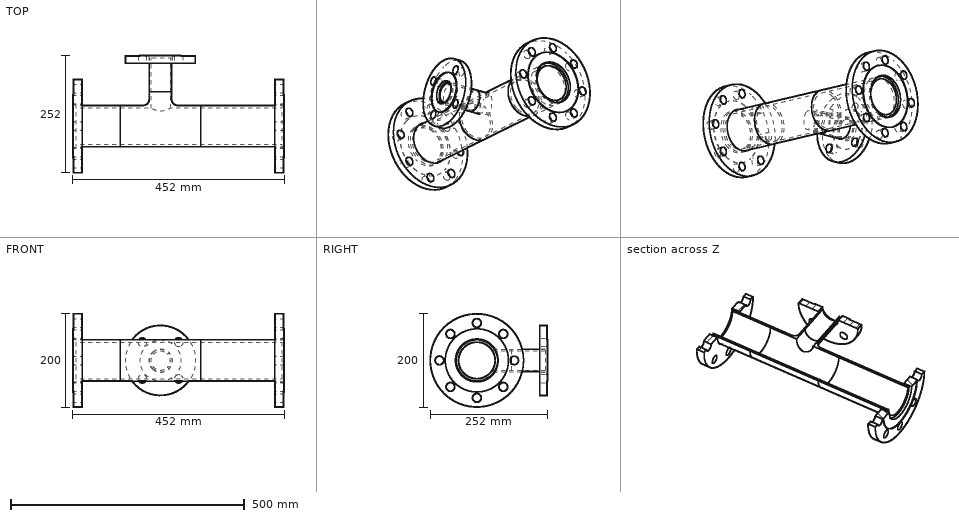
import cadquery as cq

overall_length = 452.0
run_diameter = 89.0
run_bore = 77.7

branch_x = -39.0
branch_face_y = 152.0
branch_diameter = 48.5
branch_bore = 41.0

tee_half_length = 86.0
tee_branch_height = 73.5
tee_fillet = 12.0

pipe_gap = 1.0
pipe_setback = 6.0
bolt_hole_diameter = 18.0

run_flange_diameter = 200.0
run_flange_plate = 18.5
run_raised_face = 1.5
run_raised_diameter = 135.0
run_bolt_circle = 160.0
run_bolt_count = 8

branch_flange_diameter = 150.0
branch_flange_plate = 16.0
branch_raised_face = 2.0
branch_raised_diameter = 87.5
branch_bolt_circle = 110.0
branch_bolt_count = 4

half_length = overall_length / 2
left_face = cq.Plane(origin=(-half_length, 0, 0), xDir=(0, 1, 0), normal=(-1, 0, 0))
right_face = cq.Plane(origin=(half_length, 0, 0), xDir=(0, 1, 0), normal=(1, 0, 0))
branch_face = cq.Plane(origin=(branch_x, branch_face_y, 0), xDir=(1, 0, 0), normal=(0, 1, 0))


def make_flange(face, diameter, plate, raised, raised_diameter, pipe_diameter, bolt_circle, bolts, first_angle):
    """Raised-face flange lying behind its sealing face."""
    thickness = plate + raised
    disc = cq.Workplane(face).workplane(offset=-thickness).circle(diameter / 2).extrude(plate)
    raised_ring = cq.Workplane(face).circle(raised_diameter / 2).extrude(-raised)
    pipe_hole = cq.Workplane(face).circle(pipe_diameter / 2 + pipe_gap).extrude(-thickness)
    bolt_holes = (
        cq.Workplane(face)
        .polarArray(bolt_circle / 2, first_angle, 360, bolts)
        .circle(bolt_hole_diameter / 2)
        .extrude(-thickness)
    )
    return disc.union(raised_ring).cut(pipe_hole).cut(bolt_holes)


def make_run_flange(face):
    return make_flange(
        face, run_flange_diameter, run_flange_plate, run_raised_face, run_raised_diameter,
        run_diameter, run_bolt_circle, run_bolt_count, first_angle=0,
    )


def make_branch_flange():
    return make_flange(
        branch_face, branch_flange_diameter, branch_flange_plate, branch_raised_face, branch_raised_diameter,
        branch_diameter, branch_bolt_circle, branch_bolt_count, first_angle=180 / branch_bolt_count,
    )


def make_pipe(face, face_to_tee, diameter, bore):
    """Pipe from its setback inside the flange to the end of the tee."""
    return (
        cq.Workplane(face)
        .workplane(offset=-pipe_setback)
        .circle(diameter / 2)
        .circle(bore / 2)
        .extrude(pipe_setback - face_to_tee)
    )


def make_tee():
    """Reducing tee with a fillet where the branch leaves the run."""
    run_start = cq.Workplane(
        cq.Plane(origin=(branch_x - tee_half_length, 0, 0), xDir=(0, 0, 1), normal=(1, 0, 0))
    )
    branch_start = cq.Workplane(cq.Plane(origin=(branch_x, 0, 0), xDir=(0, 0, 1), normal=(0, 1, 0)))
    run = run_start.circle(run_diameter / 2).extrude(2 * tee_half_length)
    branch = branch_start.circle(branch_diameter / 2).extrude(tee_branch_height)
    joint_reach = branch_diameter / 2 + tee_fillet
    joint_box = cq.selectors.BoxSelector(
        (branch_x - joint_reach, 0, -joint_reach),
        (branch_x + joint_reach, run_diameter / 2 + tee_fillet, joint_reach),
        boundingbox=True,
    )
    body = run.union(branch).edges(joint_box).fillet(tee_fillet)
    run_passage = run_start.circle(run_bore / 2).extrude(2 * tee_half_length)
    branch_passage = branch_start.circle(branch_bore / 2).extrude(tee_branch_height)
    return body.cut(run_passage).cut(branch_passage)


left_flange = make_run_flange(left_face)
right_flange = make_run_flange(right_face)
branch_flange = make_branch_flange()

tee = make_tee()
left_pipe = make_pipe(left_face, half_length + branch_x - tee_half_length, run_diameter, run_bore)
right_pipe = make_pipe(right_face, half_length - branch_x - tee_half_length, run_diameter, run_bore)
branch_pipe = make_pipe(branch_face, branch_face_y - tee_branch_height, branch_diameter, branch_bore)

bodies = [left_flange, right_flange, branch_flange, tee, left_pipe, right_pipe, branch_pipe]
result = cq.Compound.makeCompound([body.val() for body in bodies])